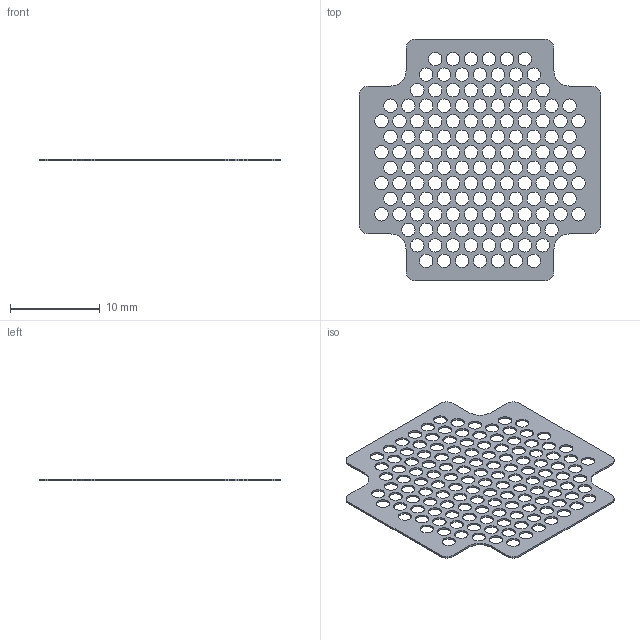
import cadquery as cq
import math

plate_span = 27.0
arm_width = 16.5
thickness = 0.2
outer_corner_radius = 1.0
inner_corner_radius = 1.75

hole_diameter = 1.5
hole_pitch = 2.0
row_pitch = hole_pitch * math.sqrt(3) / 2
holes_per_row = [6, 7, 8, 11, 12, 11, 12, 11, 12, 11, 12, 9, 8, 7]


def make_bar(length_x, length_y):
    """Flat bar centred on the origin, with rounded corners."""
    bar = cq.Workplane("XY").box(length_x, length_y, thickness, centered=(True, True, False))
    return bar.edges("|Z").fillet(outer_corner_radius)


def make_plate():
    """Two crossed bars with filleted inside corners."""
    cross = make_bar(plate_span, arm_width).union(make_bar(arm_width, plate_span))

    half_square = arm_width / 2 + outer_corner_radius
    inner_corners = cq.selectors.BoxSelector(
        (-half_square, -half_square, 0),
        (half_square, half_square, thickness),
    )
    return cross.edges("|Z").edges(inner_corners).fillet(inner_corner_radius)


def hole_centers():
    """Centres of all holes; neighbouring rows are staggered by half a pitch."""
    top_row_y = (len(holes_per_row) - 1) / 2 * row_pitch
    centers = []
    for row, count in enumerate(holes_per_row):
        y = top_row_y - row * row_pitch
        first_x = -(count - 1) / 2 * hole_pitch
        for column in range(count):
            centers.append((first_x + column * hole_pitch, y))
    return centers


def make_hole_pins():
    """Cylinders that pierce the plate at every hole centre."""
    centers = cq.Workplane("XY").pushPoints(hole_centers())
    return centers.circle(hole_diameter / 2).extrude(thickness)


result = make_plate().cut(make_hole_pins())